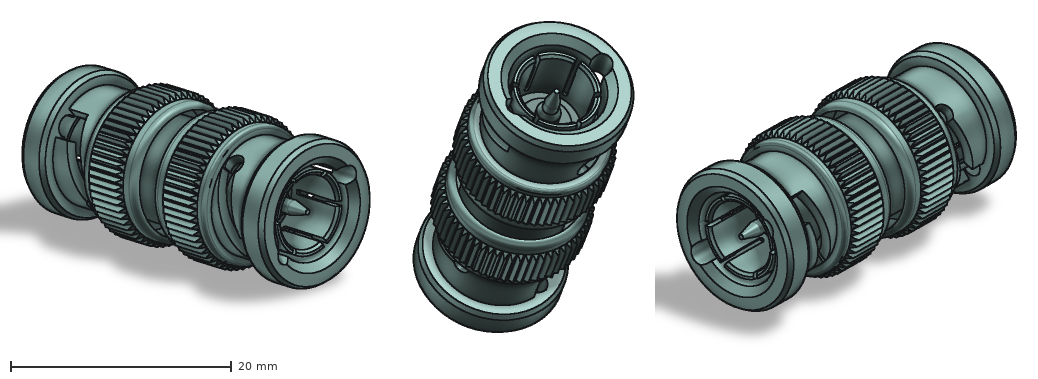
import cadquery as cq
import math

LENGTH = 31.6
HALF_LENGTH = LENGTH / 2

FLANGE_RADIUS = 6.98
FLANGE_WIDTH = 3.03
FLANGE_CHAMFER_LENGTH = 0.5
FLANGE_CHAMFER_DEPTH = 0.32
SHELL_RADIUS = 5.72
COLLAR_RADIUS = 6.7
COLLAR_START = 7.9
COLLAR_END = 14.63
COLLAR_FRONT_FILLET = 0.38
COLLAR_REAR_FILLET = 0.7
COLLAR_RECESS_DEPTH = 3.48
COLLAR_RECESS_RADIUS = COLLAR_RADIUS - COLLAR_REAR_FILLET
NECK_RADIUS = 5.05

TOOTH_COUNT = 60
TOOTH_PITCH = 360 / TOOTH_COUNT
TOOTH_BASE_ANGLE = 5.2
KNURL_HEIGHT = 14.47
TOOTH_TIP_RADIUS = KNURL_HEIGHT / 2 / math.cos(math.radians(TOOTH_PITCH / 2))
TOOTH_ROOT_OVERLAP = 0.13
KNURL_START = 8.75
KNURL_END = 13.2
KNURL_END_SLOPE = 0.55

MOUTH_RADIUS = 5.45
MOUTH_DEPTH = 0.7
BORE_RADIUS = 4.6
BORE_DEPTH = 8.22

SLEEVE_RADIUS = 3.8
SLEEVE_LIP_RADIUS = 4.08
SLEEVE_LIP_END = 2.9
SLEEVE_START = 0.98
SLEEVE_BEVEL_RADIUS = 3.8
SLEEVE_BEVEL_DEPTH = 0.25
SLEEVE_BORE_RADIUS = 3.5
SLIT_COUNT = 6
SLIT_WIDTH = 0.47
SLIT_END = 6.3
INSULATOR_DEPTH = 6.95
INSULATOR_BOSS_RADIUS = 2.45
INSULATOR_BOSS_HEIGHT = 0.63
PIN_RADIUS = 0.73
PIN_BASE_RADIUS = 1.15
PIN_BASE_START = 4.1
PIN_BASE_TAPER_LENGTH = 0.63
PIN_TIP_RADIUS = 0.25
PIN_START = 1.23
PIN_TAPER_LENGTH = 1.9

TRACK_COUNT = 2
CHANNEL_RADIUS = 1.05
CHANNEL_OFFSET = 4.8
ENTRY_LOW_ANGLE = 21.0
ENTRY_HIGH_ANGLE = 50.0
ENTRY_ANGLE = (ENTRY_LOW_ANGLE + ENTRY_HIGH_ANGLE) / 2
ENTRY_END = 4.55
RAMP_ADVANCE_PER_DEGREE = 0.027
RAMP_WIDTH = 1.7
RAMP_END_ANGLE = -41.0
DETENT_ANGLE = -47.0
DETENT_RADIUS = 0.98
DETENT_POSITION = 6.8
TRACK_INNER_RADIUS = (BORE_RADIUS + SLEEVE_LIP_RADIUS) / 2
TRACK_OUTER_RADIUS = 6.32
LIMIT_CLEARANCE = 0.63


def axial_plane(position):
    """Plane across the axis: local x points to -Y, local y to +Z, the normal to -X."""
    return cq.Plane(origin=(position, 0, 0), xDir=(0, -1, 0), normal=(-1, 0, 0))


def polar(radius, angle):
    """Point across the axis, its angle counted from -Y towards +Z."""
    return (radius * math.cos(math.radians(angle)), radius * math.sin(math.radians(angle)))


def sector(position, start_angle, end_angle, clearance=0.0):
    """Ring sector through the shell wall between two angles, widened radially by the clearance."""
    inner = TRACK_INNER_RADIUS - clearance
    outer = TRACK_OUTER_RADIUS + clearance
    middle_angle = (start_angle + end_angle) / 2
    return (
        cq.Workplane(axial_plane(position))
        .moveTo(*polar(inner, start_angle))
        .lineTo(*polar(outer, start_angle))
        .threePointArc(polar(outer, middle_angle), polar(outer, end_angle))
        .lineTo(*polar(inner, end_angle))
        .threePointArc(polar(inner, middle_angle), polar(inner, start_angle))
        .close()
    )


def around_axis(shape, angle):
    """Turn a shape about the part axis."""
    return shape.rotate((0, 0, 0), (1, 0, 0), angle)


def make_half_body():
    """Revolved body of one half, open end at X = 0 and cut plane at mid length."""
    rear_arc = COLLAR_REAR_FILLET * (1 - math.sqrt(0.5))
    front_arc = COLLAR_FRONT_FILLET * (1 - math.sqrt(0.5))
    profile = (
        cq.Workplane("XY")
        .moveTo(HALF_LENGTH, 0)
        .lineTo(HALF_LENGTH, NECK_RADIUS)
        .lineTo(COLLAR_END - COLLAR_RECESS_DEPTH, NECK_RADIUS)
        .lineTo(COLLAR_END - COLLAR_RECESS_DEPTH, COLLAR_RECESS_RADIUS)
        .lineTo(COLLAR_END, COLLAR_RECESS_RADIUS)
        .threePointArc(
            (COLLAR_END - rear_arc, COLLAR_RADIUS - rear_arc),
            (COLLAR_END - COLLAR_REAR_FILLET, COLLAR_RADIUS),
        )
        .lineTo(COLLAR_START + COLLAR_FRONT_FILLET, COLLAR_RADIUS)
        .threePointArc(
            (COLLAR_START + front_arc, COLLAR_RADIUS - front_arc),
            (COLLAR_START, COLLAR_RADIUS - COLLAR_FRONT_FILLET),
        )
        .lineTo(COLLAR_START, SHELL_RADIUS)
        .lineTo(FLANGE_WIDTH, SHELL_RADIUS)
        .lineTo(FLANGE_WIDTH, FLANGE_RADIUS - FLANGE_CHAMFER_DEPTH)
        .lineTo(FLANGE_WIDTH - FLANGE_CHAMFER_LENGTH, FLANGE_RADIUS)
        .lineTo(FLANGE_CHAMFER_LENGTH, FLANGE_RADIUS)
        .lineTo(0, FLANGE_RADIUS - FLANGE_CHAMFER_DEPTH)
        .lineTo(0, MOUTH_RADIUS)
        .lineTo(MOUTH_DEPTH, BORE_RADIUS)
        .lineTo(BORE_DEPTH, BORE_RADIUS)
        .lineTo(BORE_DEPTH, SLEEVE_RADIUS)
        .lineTo(SLEEVE_LIP_END, SLEEVE_RADIUS)
        .lineTo(SLEEVE_LIP_END, SLEEVE_LIP_RADIUS)
        .lineTo(SLEEVE_START, SLEEVE_LIP_RADIUS)
        .lineTo(SLEEVE_START, SLEEVE_BEVEL_RADIUS)
        .lineTo(SLEEVE_START + SLEEVE_BEVEL_DEPTH, SLEEVE_BORE_RADIUS)
        .lineTo(INSULATOR_DEPTH, SLEEVE_BORE_RADIUS)
        .lineTo(INSULATOR_DEPTH, INSULATOR_BOSS_RADIUS)
        .lineTo(INSULATOR_DEPTH - INSULATOR_BOSS_HEIGHT, INSULATOR_BOSS_RADIUS)
        .lineTo(INSULATOR_DEPTH - INSULATOR_BOSS_HEIGHT, PIN_BASE_RADIUS)
        .lineTo(PIN_BASE_START + PIN_BASE_TAPER_LENGTH, PIN_BASE_RADIUS)
        .lineTo(PIN_BASE_START, PIN_RADIUS)
        .lineTo(PIN_START + PIN_TAPER_LENGTH, PIN_RADIUS)
        .lineTo(PIN_START, PIN_TIP_RADIUS)
        .lineTo(PIN_START, 0)
        .close()
    )
    return profile.revolve(360, (0, 0, 0), (1, 0, 0))


def make_knurl():
    """Teeth around the collar, each a ridge with both ends sloped down to the collar."""
    root_radius = COLLAR_RADIUS - TOOTH_ROOT_OVERLAP
    base_height, base_half_width = polar(COLLAR_RADIUS, TOOTH_BASE_ANGLE / 2)
    ridge = (
        cq.Workplane("YZ", origin=(KNURL_START, 0, 0))
        .polyline(
            [
                (-base_half_width, root_radius),
                (-base_half_width, base_height),
                (0, TOOTH_TIP_RADIUS),
                (base_half_width, base_height),
                (base_half_width, root_radius),
            ]
        )
        .close()
        .extrude(KNURL_END - KNURL_START)
    )
    side_outline = (
        cq.Workplane("XZ")
        .polyline(
            [
                (KNURL_START, root_radius),
                (KNURL_START, base_height),
                (KNURL_START + KNURL_END_SLOPE, TOOTH_TIP_RADIUS),
                (KNURL_END - KNURL_END_SLOPE, TOOTH_TIP_RADIUS),
                (KNURL_END, base_height),
                (KNURL_END, root_radius),
            ]
        )
        .close()
        .extrude(2 * base_half_width, both=True)
    )
    tooth = ridge.intersect(side_outline)
    teeth = []
    for index in range(TOOTH_COUNT):
        teeth.append(around_axis(tooth, (index + 0.5) * TOOTH_PITCH).val())
    return cq.Workplane(cq.Compound.makeCompound(teeth))


def make_track():
    """Cutters for one bayonet track through the shell wall, from the mouth to the detent."""
    channel = (
        cq.Workplane(axial_plane(FLANGE_WIDTH))
        .center(*polar(CHANNEL_OFFSET, ENTRY_ANGLE))
        .circle(CHANNEL_RADIUS)
        .extrude(FLANGE_WIDTH)
        .cut(cq.Workplane(axial_plane(FLANGE_WIDTH)).circle(TRACK_INNER_RADIUS).extrude(FLANGE_WIDTH))
    )
    entry = sector(ENTRY_END, ENTRY_LOW_ANGLE, ENTRY_HIGH_ANGLE).extrude(ENTRY_END - FLANGE_WIDTH)

    ramp_length = COLLAR_START - ENTRY_END
    ramp_turn = ramp_length / RAMP_ADVANCE_PER_DEGREE
    ramp_low_angle = ENTRY_LOW_ANGLE - ramp_turn
    ramp_spread = RAMP_WIDTH / RAMP_ADVANCE_PER_DEGREE
    band_section = sector(COLLAR_START, ramp_low_angle, ramp_low_angle + ramp_spread)
    band = band_section.twistExtrude(ramp_length, ramp_turn)
    limits = sector(COLLAR_START, RAMP_END_ANGLE, ENTRY_HIGH_ANGLE, LIMIT_CLEARANCE).extrude(COLLAR_START)
    ramp = band.intersect(limits)

    detent = around_axis(
        cq.Workplane("XZ", origin=(DETENT_POSITION, 0, 0))
        .workplane(offset=TRACK_INNER_RADIUS)
        .circle(DETENT_RADIUS)
        .extrude(TRACK_OUTER_RADIUS - TRACK_INNER_RADIUS),
        -DETENT_ANGLE,
    )
    return channel, entry, ramp, detent


def make_slit():
    """Cutter for one lengthwise slit in the sleeve, with a round inner end."""
    round_centre = SLIT_END - SLIT_WIDTH / 2
    inner = (SLEEVE_BORE_RADIUS + INSULATOR_BOSS_RADIUS) / 2
    return (
        cq.Workplane("XZ", origin=(0, -inner, 0))
        .moveTo(0, -SLIT_WIDTH / 2)
        .lineTo(round_centre, -SLIT_WIDTH / 2)
        .threePointArc((SLIT_END, 0), (round_centre, SLIT_WIDTH / 2))
        .lineTo(0, SLIT_WIDTH / 2)
        .close()
        .extrude(TRACK_INNER_RADIUS - inner)
    )


def make_half():
    """Complete half with its tracks, sleeve slits and knurl, moved to the -X side of the middle."""
    half = make_half_body()
    for index in range(TRACK_COUNT):
        for cutter in make_track():
            half = half.cut(around_axis(cutter, index * 360 / TRACK_COUNT))
    for index in range(SLIT_COUNT):
        half = half.cut(around_axis(make_slit(), index * 360 / SLIT_COUNT))
    return half.union(make_knurl()).translate((-HALF_LENGTH, 0, 0))


left_half = make_half()
right_half = left_half.rotate((0, 0, 0), (0, 0, 1), 180)
result = left_half.union(right_half)